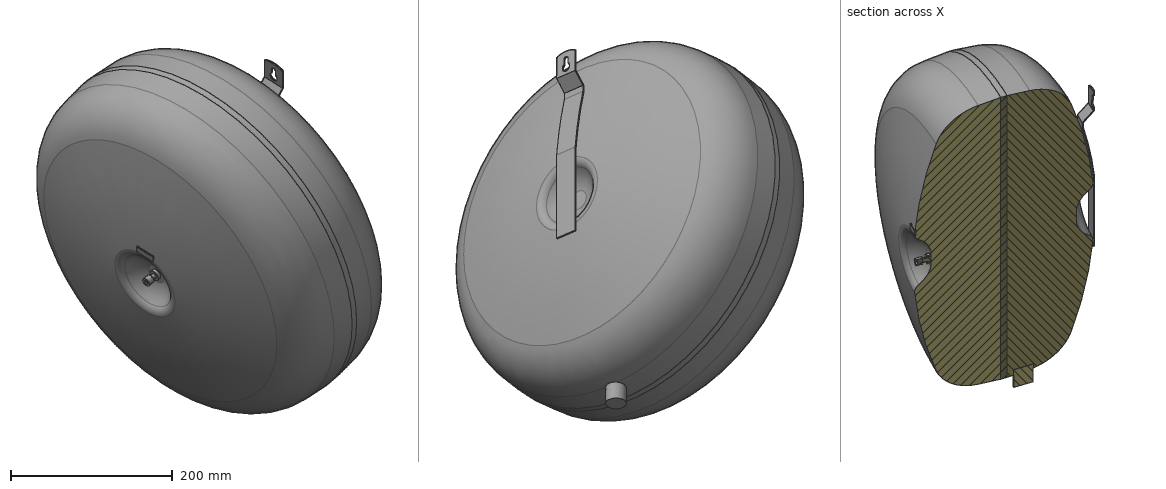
import cadquery as cq
import math


tank_radius = 240.0
tank_depth = 240.5
half_depth = tank_depth / 2
band_half_width = 4.25
crown_radius = 615.0
crown_edge_radius = 192.5
wall_taper = math.radians(5)
rim_fillet = 12.5
rim_peak_radius = 48.5
dish_edge_radius = 38.0
dish_bowl_radius = 36.0
dish_floor_radius = 13.0

pipe_radius = 13.0
pipe_y = 26.5
pipe_bottom_z = -260.0
pipe_top_z = -230.0

bracket_width = 30.0
bracket_thickness = 2.0
bracket_clearance = 1.0
bracket_bottom_z = -59.5
bracket_lift_z = 147.0
bracket_bend_z = 156.5
bracket_top_z = 204.0
bracket_top_rise = 3.5
keyhole_z = 181.0
keyhole_diameter = 11.5
keyhole_slot_width = 6.5
keyhole_slot_top_z = 196.0

plate_width = 27.5
plate_bottom_z = 47.0
plate_top_z = 55.5
plate_thickness = 2.0

nut_radius = 7.0
nut_height = 4.5
stem_radius = 3.5
stem_height = 11.0
cap_radius = 5.5
cap_height = 19.5
cap_bore_radius = 2.5
cap_bore_depth = 2.5


def polar(center, radius, angle):
    """Point of a circle in the shell profile, the angle being measured from the mid-plane."""
    return (center[0] + radius * math.cos(angle), center[1] + radius * math.sin(angle))


rim_center = (rim_peak_radius, half_depth - rim_fillet)
crown_center_y = rim_center[1] - math.sqrt((crown_radius - rim_fillet) ** 2 - rim_peak_radius**2)
crown_center = (0, crown_center_y)


def crown_height(radius, offset):
    """Distance from the mid-plane to a surface offset outwards from the crown."""
    return crown_center_y + math.sqrt((crown_radius + offset) ** 2 - radius**2)


knuckle_angle = math.acos(crown_edge_radius / crown_radius)
crown_edge = polar(crown_center, crown_radius, knuckle_angle)
knuckle_radius = (
    (tank_radius - crown_edge_radius) * math.cos(wall_taper)
    + (band_half_width - crown_edge[1]) * math.sin(wall_taper)
) / (1 - math.cos(knuckle_angle - wall_taper))
knuckle_center = polar(crown_edge, -knuckle_radius, knuckle_angle)

rim_outer_angle = math.atan2(rim_center[1] - crown_center_y, rim_peak_radius)
rim_inner_angle = math.acos((dish_edge_radius - rim_peak_radius) / rim_fillet)
bowl_center = polar(rim_center, rim_fillet + dish_bowl_radius, rim_inner_angle)
dish_edge = polar(rim_center, rim_fillet, rim_inner_angle)
bowl_end_angle = -math.acos((dish_floor_radius - bowl_center[0]) / dish_bowl_radius)
bowl_edge_angle = rim_inner_angle - math.pi
dish_floor = polar(bowl_center, dish_bowl_radius, bowl_end_angle)


def make_shell():
    """Domed half of the tank on the +Y side."""
    knuckle_middle = polar(knuckle_center, knuckle_radius, (wall_taper + knuckle_angle) / 2)
    crown_middle = polar(crown_center, crown_radius, (knuckle_angle + rim_outer_angle) / 2)
    rim_middle = polar(rim_center, rim_fillet, (rim_outer_angle + rim_inner_angle) / 2)
    bowl_middle = polar(bowl_center, dish_bowl_radius, (bowl_edge_angle + bowl_end_angle) / 2)
    return (
        cq.Workplane("XY")
        .moveTo(0, band_half_width)
        .lineTo(tank_radius, band_half_width)
        .lineTo(*polar(knuckle_center, knuckle_radius, wall_taper))
        .threePointArc(knuckle_middle, crown_edge)
        .threePointArc(crown_middle, polar(crown_center, crown_radius, rim_outer_angle))
        .threePointArc(rim_middle, dish_edge)
        .threePointArc(bowl_middle, dish_floor)
        .lineTo(0, dish_floor[1])
        .close()
        .revolve(360, (0, 0, 0), (0, 1, 0))
    )


def cylinder_along_y(radius, start_y, end_y):
    """Cylinder on the tank axis."""
    return cq.Workplane("XZ", origin=(0, start_y, 0)).circle(radius).extrude(start_y - end_y)


def make_pipe():
    """Bottom connection, seated in the rear shell."""
    return (
        cq.Workplane("XY", origin=(0, pipe_y, pipe_bottom_z))
        .circle(pipe_radius)
        .extrude(pipe_top_z - pipe_bottom_z)
    )


def make_plate():
    """Nameplate let into the front shell above the dish, flush with the dish rim."""
    return (
        cq.Workplane("XY", origin=(0, -half_depth + plate_thickness / 2, plate_bottom_z))
        .rect(plate_width, plate_thickness)
        .extrude(plate_top_z - plate_bottom_z)
    )


def make_bracket():
    """Bent strip resting on the rear dish rim, with a raised keyhole tab at its top end."""
    inner_y = half_depth
    outer_y = half_depth + bracket_thickness
    outer_offset = bracket_clearance + bracket_thickness
    lift_y = crown_height(bracket_lift_z, bracket_clearance)
    lift_outer_y = crown_height(bracket_lift_z, outer_offset)
    tab_z = bracket_bend_z + inner_y - lift_y
    miter = (lift_outer_y - lift_y) * math.tan(math.radians(22.5))
    foot_z = math.sqrt((crown_radius + bracket_clearance) ** 2 - (inner_y - crown_center_y) ** 2)
    arc_z = (foot_z + bracket_lift_z) / 2
    strip = (
        cq.Workplane("YZ")
        .moveTo(inner_y, bracket_bottom_z)
        .lineTo(inner_y, foot_z)
        .threePointArc((crown_height(arc_z, bracket_clearance), arc_z), (lift_y, bracket_lift_z))
        .lineTo(lift_y, bracket_bend_z)
        .lineTo(inner_y, tab_z)
        .lineTo(inner_y, bracket_top_z)
        .lineTo(outer_y, bracket_top_z)
        .lineTo(outer_y, tab_z - miter)
        .lineTo(lift_outer_y, bracket_bend_z - miter)
        .lineTo(lift_outer_y, bracket_lift_z)
        .threePointArc((crown_height(arc_z, outer_offset), arc_z), (outer_y, foot_z))
        .lineTo(outer_y, bracket_bottom_z)
        .close()
        .extrude(bracket_width / 2, both=True)
    )
    tab_plane = cq.Workplane("XZ", origin=(0, outer_y, 0))
    shoulder_z = bracket_top_z - bracket_top_rise
    arched_outline = (
        tab_plane.moveTo(-bracket_width / 2, bracket_bottom_z)
        .lineTo(bracket_width / 2, bracket_bottom_z)
        .lineTo(bracket_width / 2, shoulder_z)
        .threePointArc((0, bracket_top_z), (-bracket_width / 2, shoulder_z))
        .close()
        .extrude(outer_y)
    )
    hole = tab_plane.center(0, keyhole_z).circle(keyhole_diameter / 2).extrude(2 * bracket_thickness)
    slot_length = keyhole_slot_top_z - keyhole_z + keyhole_slot_width / 2
    slot = (
        tab_plane.center(0, keyhole_slot_top_z - slot_length / 2)
        .slot2D(slot_length, keyhole_slot_width, 90)
        .extrude(2 * bracket_thickness)
    )
    return strip.intersect(arched_outline).cut(hole).cut(slot)


pipe = make_pipe()
nameplate = make_plate()
bracket = make_bracket()
band = cylinder_along_y(tank_radius, -band_half_width, band_half_width)
rear_shell = make_shell().cut(pipe)
front_shell = make_shell().mirror("XZ").cut(nameplate)

floor_y = -dish_floor[1]
stem_end_y = floor_y - stem_height
cap_end_y = floor_y - cap_height
valve_stem = cylinder_along_y(stem_radius, floor_y, stem_end_y)
valve_nut = cylinder_along_y(nut_radius, floor_y, floor_y - nut_height).cut(valve_stem)
valve_cap = cylinder_along_y(cap_radius, stem_end_y, cap_end_y).cut(
    cylinder_along_y(cap_bore_radius, cap_end_y + cap_bore_depth, cap_end_y)
)

result = cq.Compound.makeCompound(
    [
        front_shell.val(),
        rear_shell.val(),
        band.val(),
        pipe.val(),
        bracket.val(),
        nameplate.val(),
        valve_nut.val(),
        valve_stem.val(),
        valve_cap.val(),
    ]
)